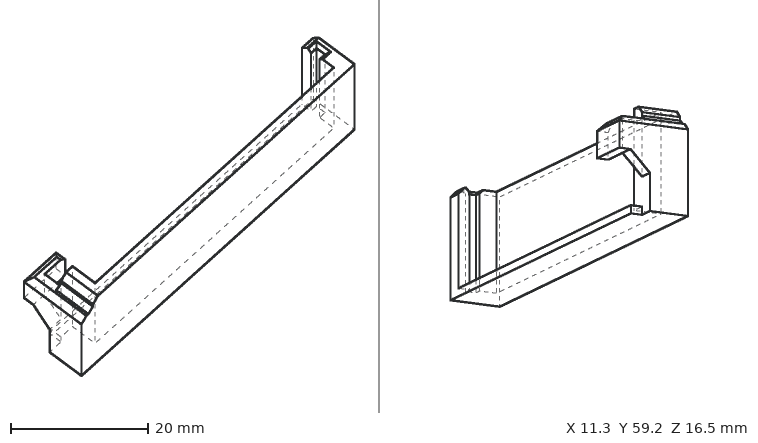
import cadquery as cq
import math

width = 11.3
length = 59.2
height = 16.5

wall = 1.85
floor_left = 3.2
floor_thickness = 1.25
end_depth = 2.5
edge_chamfer = 1.05

block_left = floor_left + wall
block_depth = 2.5
plate_depth = 2.5
block_back = plate_depth + block_depth

plate_height = 14.1
hook_thickness = wall
hook_length = 7.0
hook_bottom = 8.95
brace_bottom = hook_bottom - (block_left - hook_thickness)

rib_depth = 1.0
rib_height = 0.8
rib_fillet = 0.7
rib_fillet_tip = 0.05

groove_left = floor_left + wall
groove_width = 1.65
groove_depth = 1.2
groove_flare = 0.6


def box(x_range, y_range, z_range):
    """Box spanning the given ranges along X, Y and Z."""
    (x0, x1), (y0, y1), (z0, z1) = x_range, y_range, z_range
    return cq.Workplane("XY").box(x1 - x0, y1 - y0, z1 - z0, centered=False).translate((x0, y0, z0))


def make_shell():
    floor = box((floor_left, width), (plate_depth, length), (0, floor_thickness))
    long_wall = box((width - wall, width), (plate_depth, length), (0, height))
    return floor.union(long_wall)


def make_front_block():
    block = box((block_left, width), (plate_depth, block_back), (0, height))
    return block.faces("<Y").edges(">Z").chamfer(edge_chamfer)


def bevel_wall_end(body):
    """Continue the block's top bevel across the end of the long wall."""
    bevel = (
        cq.Workplane("YZ")
        .moveTo(plate_depth, height)
        .lineTo(plate_depth + edge_chamfer, height)
        .lineTo(plate_depth, height - edge_chamfer)
        .close()
        .extrude(width)
    )
    return body.cut(bevel)


def make_rear_end():
    start = length - end_depth
    end = box((floor_left, width), (start, length), (0, height))
    end = end.faces("<X").edges(">Z").chamfer(edge_chamfer)
    groove_right = groove_left + groove_width
    groove_back = start + groove_depth
    groove = box((groove_left, groove_right), (start, groove_back), (floor_thickness, height))
    front = start - 2 * groove_flare
    depth = groove_back - front
    flare = (
        cq.Workplane("XY", origin=(groove_left + groove_width / 2, front + depth / 2, height - groove_flare))
        .rect(groove_width, depth)
        .workplane(offset=groove_flare)
        .center(0, groove_flare / 2)
        .rect(groove_width + 2 * groove_flare, depth + groove_flare)
        .loft(ruled=True)
    )
    return end.cut(groove).cut(flare)


def make_front_plate():
    plate = (
        cq.Workplane("XZ")
        .moveTo(width, 0)
        .lineTo(block_left, 0)
        .lineTo(block_left, brace_bottom)
        .lineTo(hook_thickness, hook_bottom)
        .lineTo(0, hook_bottom)
        .lineTo(0, plate_height)
        .lineTo(width, plate_height)
        .close()
        .extrude(-plate_depth)
    )
    hook = box((0, hook_thickness), (0, hook_length), (hook_bottom, plate_height))
    plate = plate.union(hook)
    top_edges = plate.faces(">Z").edges("<Y or <X or >Y")
    return top_edges.chamfer(edge_chamfer)


def fillet_section(body, radius):
    """Draw the area between a ledge, a wall on its right and a concave arc joining them."""
    bulge = radius * (1 - math.sqrt(0.5))
    return (
        body.moveTo(0, 0)
        .lineTo(-radius, 0)
        .threePointArc((-bulge, bulge), (0, radius))
        .close()
    )


def make_rib():
    """Sloped rib on the plate, with a concave fillet that tapers along its free end."""
    slope = (
        cq.Workplane("YZ", origin=(block_left, 0, plate_height))
        .moveTo(plate_depth - rib_depth, 0)
        .lineTo(plate_depth, 0)
        .lineTo(plate_depth, rib_height)
        .close()
        .extrude(width - block_left)
    )
    end = fillet_section(cq.Workplane("XZ", origin=(block_left, plate_depth, plate_height)), rib_fillet)
    end = fillet_section(end.workplane(offset=rib_depth), rib_fillet_tip).loft(ruled=True)
    return slope.union(end)


result = (
    bevel_wall_end(make_shell())
    .union(make_front_block())
    .union(make_rear_end())
    .union(make_front_plate())
    .union(make_rib())
    .clean()
)